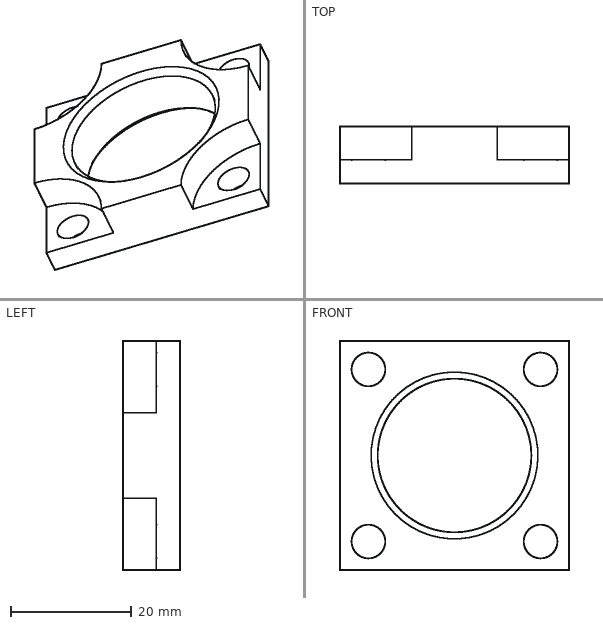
import cadquery as cq

side = 38.1
depth = 9.52
flange_thickness = 3.95

bore_diameter = 25.53
bore_chamfer = 1.1

hole_diameter = 5.55
hole_pitch = 28.6
relief_radius = 11.95


def front_plane(y):
    """Sketch plane at depth y whose normal points to the back (+Y)."""
    return cq.Workplane("XZ", origin=(0, y, 0)).workplane(invert=True)


def corner_reliefs():
    """Cylinders centred on the block corners, leaving the front flange whole."""
    return (
        front_plane(flange_thickness)
        .rect(side, side, forConstruction=True)
        .vertices()
        .circle(relief_radius)
        .extrude(depth - flange_thickness)
    )


def bolt_holes():
    """Four through holes on a square pattern."""
    return (
        front_plane(0)
        .rect(hole_pitch, hole_pitch, forConstruction=True)
        .vertices()
        .circle(hole_diameter / 2)
        .extrude(depth)
    )


def lead_in(face_y, inward):
    """Cone widening the bore at face_y; inward is +1 or -1 along Y."""
    bore_radius = bore_diameter / 2
    return cq.Workplane(
        cq.Solid.makeCone(
            bore_radius + bore_chamfer,
            bore_radius,
            bore_chamfer,
            pnt=cq.Vector(0, face_y, 0),
            dir=cq.Vector(0, inward, 0),
        )
    )


def central_bore():
    """Through bore with a conical lead-in at the front and back faces."""
    bore = front_plane(0).circle(bore_diameter / 2).extrude(depth)
    return bore.union(lead_in(0, 1)).union(lead_in(depth, -1))


block = front_plane(0).rect(side, side).extrude(depth)
result = block.cut(corner_reliefs()).cut(bolt_holes()).cut(central_bore())